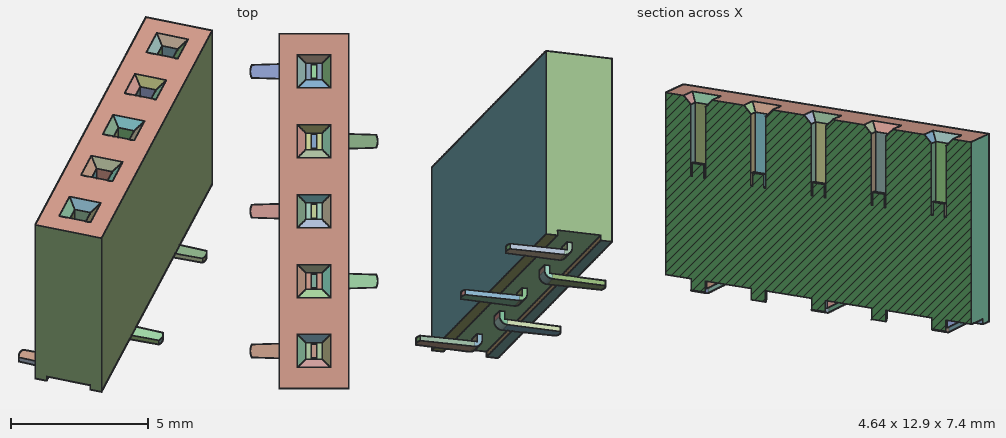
import cadquery as cq

PITCH = 2.54
PIN_COUNT = 5
BODY_WIDTH = PITCH
BODY_LENGTH = 12.9
TOTAL_HEIGHT = 7.4
STANDOFF = 0.3
FOOT_WIDTH = 0.44
FOOT_HEIGHT = 0.2
FLOOR_Z = STANDOFF + FOOT_HEIGHT

FUNNEL_SIZE = 1.2
BORE_SIZE = 0.6
FUNNEL_DEPTH = 0.3
BORE_BOTTOM_Z = 4.4

POST_WIDTH = 0.5
POST_TOP_Z = 4.9
LEAD_THICKNESS = 0.2
LEAD_WIDTH = 0.61
BEND_RADIUS = 0.3
LEAD_SPAN = 4.64
TIP_WIDTH = 0.48
TIP_BULGE = 0.06
LEAD_REACH = LEAD_SPAN / 2

HALF_THICKNESS = LEAD_THICKNESS / 2
BEND_END_X = HALF_THICKNESS - BEND_RADIUS


def make_housing():
    """Bar with an open channel along its underside, between the two feet."""
    body_height = TOTAL_HEIGHT - STANDOFF
    channel_width = BODY_WIDTH - 2 * FOOT_WIDTH
    on_bottom = (True, True, False)
    body = cq.Workplane("XY").workplane(offset=STANDOFF).box(
        BODY_WIDTH, BODY_LENGTH, body_height, centered=on_bottom
    )
    channel = cq.Workplane("XY").workplane(offset=STANDOFF).box(
        channel_width, BODY_LENGTH, FOOT_HEIGHT, centered=on_bottom
    )
    return body.cut(channel)


def make_socket(y):
    """Funnel and bore to be removed at one contact position."""
    funnel = (
        cq.Workplane("XY", origin=(0, y, TOTAL_HEIGHT))
        .rect(FUNNEL_SIZE, FUNNEL_SIZE)
        .workplane(offset=-FUNNEL_DEPTH)
        .rect(BORE_SIZE, BORE_SIZE)
        .loft()
    )
    bore = (
        cq.Workplane("XY", origin=(0, y, BORE_BOTTOM_Z))
        .rect(BORE_SIZE, BORE_SIZE)
        .extrude(TOTAL_HEIGHT - FUNNEL_DEPTH - BORE_BOTTOM_Z)
    )
    return funnel.union(bore)


def make_post(y):
    """Upright contact blade that rises from the bottom of the bore."""
    return (
        cq.Workplane("XY", origin=(0, y, FLOOR_Z))
        .rect(LEAD_THICKNESS, POST_WIDTH)
        .extrude(POST_TOP_Z - FLOOR_Z)
    )


def make_lead(y, side):
    """Lead that drops from the housing, bends toward side (-1 or +1 along X) and tapers to a round tip."""
    profile = (
        cq.Workplane("XZ", origin=(0, LEAD_WIDTH / 2, 0))
        .moveTo(-HALF_THICKNESS, FLOOR_Z)
        .lineTo(HALF_THICKNESS, FLOOR_Z)
        .lineTo(HALF_THICKNESS, BEND_RADIUS)
        .radiusArc((BEND_END_X, 0), BEND_RADIUS)
        .lineTo(-LEAD_REACH, 0)
        .lineTo(-LEAD_REACH, LEAD_THICKNESS)
        .lineTo(-HALF_THICKNESS, LEAD_THICKNESS)
        .close()
        .extrude(LEAD_WIDTH)
    )
    tip_start_x = TIP_BULGE - LEAD_REACH
    outline = (
        cq.Workplane("XY")
        .moveTo(HALF_THICKNESS, -LEAD_WIDTH / 2)
        .lineTo(HALF_THICKNESS, LEAD_WIDTH / 2)
        .lineTo(BEND_END_X, LEAD_WIDTH / 2)
        .lineTo(tip_start_x, TIP_WIDTH / 2)
        .threePointArc((-LEAD_REACH, 0), (tip_start_x, -TIP_WIDTH / 2))
        .lineTo(BEND_END_X, -LEAD_WIDTH / 2)
        .close()
        .extrude(FLOOR_Z)
    )
    lead = profile.intersect(outline)
    if side > 0:
        lead = lead.mirror("YZ")
    return lead.translate((0, y, 0))


result = make_housing()
for index in range(PIN_COUNT):
    contact_y = (index - (PIN_COUNT - 1) / 2) * PITCH
    lead_side = -1 if index % 2 == 0 else 1
    result = result.cut(make_socket(contact_y))
    result = result.union(make_post(contact_y))
    result = result.union(make_lead(contact_y, lead_side))